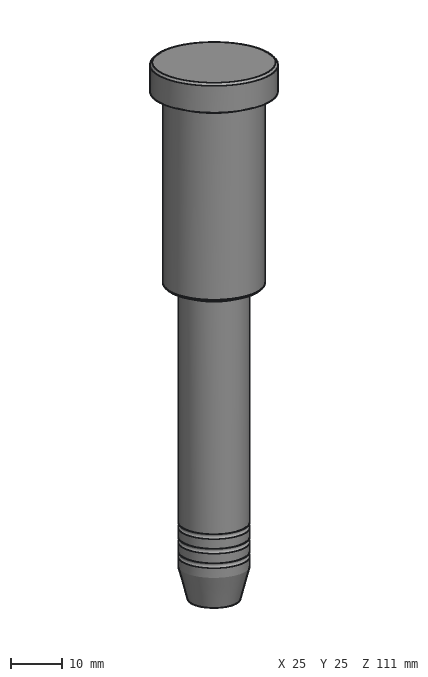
import cadquery as cq
import math

total_length = 111.0
head_radius = 25.0 / 2
body_radius = 20.0 / 2
stem_radius = 14.0 / 2

head_height = 6.0
body_length = 40.0
tip_length = 7.0
tip_angle = 15.0

head_chamfer = 0.5
body_chamfer = 0.5
tip_fillet = 0.5

relief_width = 1.0
relief_depth = 0.5

groove_radius = 0.5
tip_groove_count = 3
tip_groove_pitch = 3.0

head_bottom = total_length - head_height
body_bottom = head_bottom - body_length
tip_radius = stem_radius - tip_length * math.tan(math.radians(tip_angle))


def cylinder(radius, bottom, top):
    return cq.Workplane("XY").workplane(offset=bottom).circle(radius).extrude(top - bottom)


def revolve_about_z(profile):
    """Full turn of a closed (radius, height) outline about the Z axis."""
    return cq.Workplane("XZ").polyline(profile).close().revolve(360, (0, 0), (0, 1))


def groove_ring(radius, top):
    """Ring cutter of round section centred on the given radius, leaving a half-round groove."""
    section = cq.Workplane("XZ").center(radius, top - groove_radius).circle(groove_radius)
    return section.revolve(360, (-radius, 0), (-radius, 1))


def make_head():
    return cylinder(head_radius, head_bottom, total_length).faces(">Z").chamfer(head_chamfer)


def make_body():
    body = cylinder(body_radius, body_bottom, head_bottom).faces("<Z").chamfer(body_chamfer)
    return body.cut(groove_ring(body_radius, head_bottom))


def make_tip():
    tip = revolve_about_z([(0, 0), (tip_radius, 0), (stem_radius, tip_length), (0, tip_length)])
    return tip.faces("<Z").edges().fillet(tip_fillet)


def make_stem():
    relief_bottom = body_bottom - relief_width
    stem = cylinder(stem_radius, tip_length, relief_bottom)
    stem = stem.union(cylinder(stem_radius - relief_depth, relief_bottom, body_bottom))
    for index in range(tip_groove_count):
        groove_top = tip_length + (index + 1) * tip_groove_pitch
        stem = stem.cut(groove_ring(stem_radius, groove_top))
    return stem.union(make_tip())


result = make_head().union(make_body()).union(make_stem())